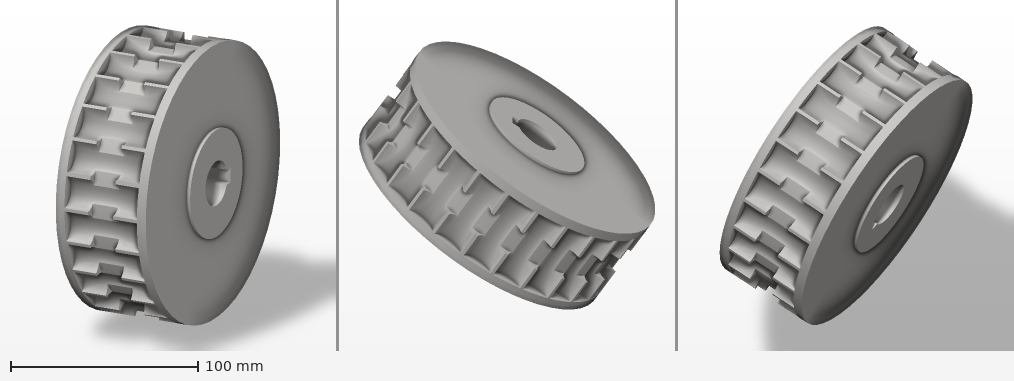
import cadquery as cq

wheel_diameter = 154.2
wheel_width = 54.3
hub_diameter = 60.1
hub_length = 58.5

bore_diameter = 25.0
keyway_width = 8.3
keyway_reach = 16.0

pocket_count = 25
pocket_radius = 9.1
pocket_axis_radius = 79.1
pocket_length = 43.6
first_pocket_angle = 0.0

groove_width = 15.1
groove_floor_diameter = 143.4


def disc(diameter, length):
    """Cylinder on the X axis, centred on the origin."""
    return cq.Workplane("YZ").circle(diameter / 2).extrude(length / 2, both=True)


def make_groove():
    """Ring that opens the rim down to the groove floor."""
    return disc(wheel_diameter, groove_width).cut(disc(groove_floor_diameter, groove_width))


def make_pockets():
    """Round cutters parallel to X, evenly spaced around the rim."""
    return (
        cq.Workplane("YZ")
        .polarArray(pocket_axis_radius, first_pocket_angle, 360, pocket_count)
        .circle(pocket_radius)
        .extrude(pocket_length / 2, both=True)
    )


def make_keyway():
    """Slot from the bore axis toward +Y, through the whole hub."""
    return cq.Workplane("XY").box(
        hub_length, keyway_reach, keyway_width, centered=(True, False, True)
    )


wheel = disc(wheel_diameter, wheel_width).union(disc(hub_diameter, hub_length))
wheel = wheel.cut(make_groove()).cut(make_pockets())
result = wheel.cut(disc(bore_diameter, hub_length)).cut(make_keyway())